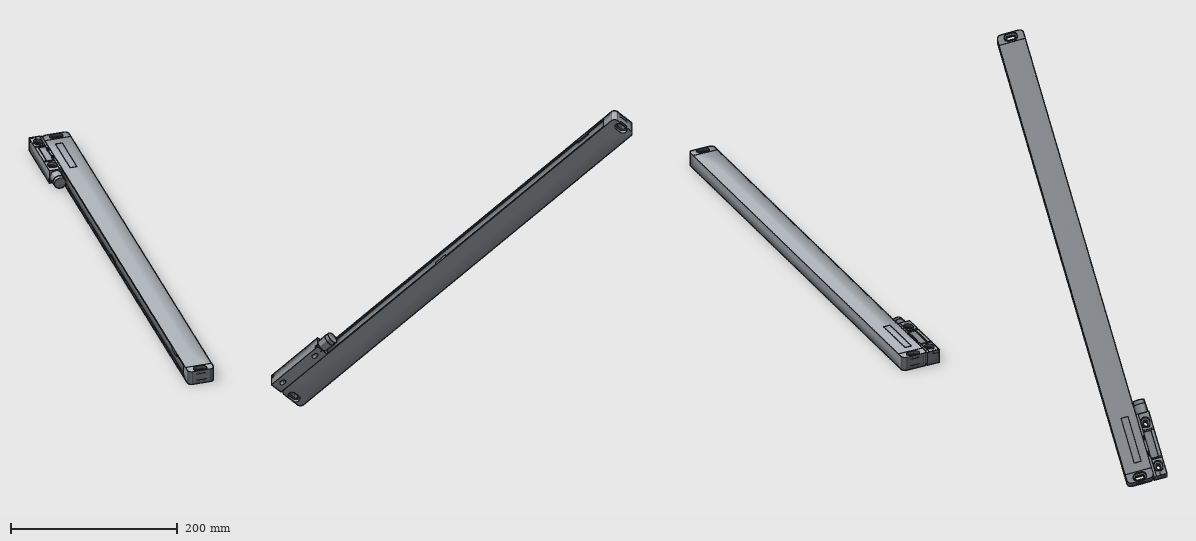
import cadquery as cq

total_length = 575.0
total_depth = 49.0
height = 18.0

housing_depth = 33.0
corner_radius = 5.0
cap_length = 12.0
cover_step = 0.1
channel_end = 19.0
channel_lip = 2.0
channel_depth = 2.0

tab_length = 18.0
tab_height = 4.5
lower_tab_x = 266.0
upper_tab_x = 510.5

label_x = 23.0
label_y = 26.0
label_length = 57.5
label_width = 8.5
label_depth = 0.3

end_hole_inset = 5.45
end_slot_width = 5.0
end_seat_width = 10.0
end_slot_straight = 6.5
end_seat_depth = 4.5

head_length = 80.0
ledge_width = 3.0
ledge_drop = 0.5
notch_length = 6.0
notch_width = 1.45
notch_depth = 3.0
notch_spacing = 20.0

window_length = 34.0
window_depth = 2.0
front_rim = 4.0
groove_width = 2.0
groove_depth = 0.3

head_slot_inset = 12.0
head_slot_y = 7.5
head_slot_straight = 3.0
head_slot_width = 5.0
head_seat_width = 10.5
head_seat_depth = 4.5

corner_hole_diameter = 4.0
corner_hole_inset = 2.5
corner_hole_level = 3.0
corner_hole_depth = 8.0

gland_diameter = 15.0
gland_length = 12.0
collar_diameter = 14.5
collar_length = 5.0
gland_y = 8.0

housing_front = total_depth - housing_depth
housing_middle = housing_front + housing_depth / 2
head_depth = housing_front
head_middle = head_length / 2
ledge_front = head_depth - ledge_width


def box(x, y, z, length, depth, tall):
    """Box given by its lowest corner and its sizes along X, Y and Z."""
    return cq.Workplane("XY").box(length, depth, tall, centered=False).translate((x, y, z))


def slot(x, y, z, straight, width, tall, angle):
    """Upright round-ended slot standing on level z; straight is the distance between its end arcs."""
    return cq.Workplane("XY", origin=(x, y, z)).slot2D(straight + width, width, angle).extrude(tall)


def housing_end_hole(x):
    """Slot through the full height with a wider screw seat sunk from the top and the bottom."""
    hole = slot(x, housing_middle, 0, end_slot_straight, end_slot_width, height, 90)
    for seat_z in (0, height - end_seat_depth):
        seat = slot(x, housing_middle, seat_z, end_slot_straight, end_seat_width, end_seat_depth, 90)
        hole = hole.union(seat)
    return hole


def front_channel():
    """Shallow channel along the front face, interrupted by two retaining tabs."""
    length = total_length - 2 * channel_end
    channel = box(channel_end, housing_front, channel_lip, length, channel_depth, height - 2 * channel_lip)
    for tab_x, tab_z in ((lower_tab_x, 0), (upper_tab_x, height - tab_height)):
        channel = channel.cut(box(tab_x, housing_front, tab_z, tab_length, channel_depth, tab_height))
    return channel


def make_housing():
    body = box(0, housing_front, 0, total_length, housing_depth, height).edges("|Z").fillet(corner_radius)
    cover_z = height - cover_step
    cover_length = total_length - 2 * cap_length
    body = body.cut(box(cap_length, housing_front, cover_z, cover_length, housing_depth, cover_step))
    body = body.cut(box(label_x, label_y, cover_z - label_depth, label_length, label_width, label_depth))
    body = body.cut(front_channel())
    for hole_x in (end_hole_inset, total_length - end_hole_inset):
        body = body.cut(housing_end_hole(hole_x))
    return body


def head_screw_hole(x):
    """Slot through the head with a wider screw seat sunk from the top."""
    hole = slot(x, head_slot_y, 0, head_slot_straight, head_slot_width, height, 0)
    seat_z = height - head_seat_depth
    return hole.union(slot(x, head_slot_y, seat_z, head_slot_straight, head_seat_width, head_seat_depth, 0))


def head_top_cuts():
    """Rear ledge with two notches, the sunk window, and a groove across the head at each window end."""
    cuts = box(0, ledge_front, height - ledge_drop, head_length, ledge_width, ledge_drop)
    window_x = head_middle - window_length / 2
    cuts = cuts.union(
        box(window_x, front_rim, height - window_depth, window_length, ledge_front - front_rim, window_depth)
    )
    for side in (-1, 1):
        groove_x = head_middle + side * (window_length + groove_width) / 2 - groove_width / 2
        cuts = cuts.union(box(groove_x, 0, height - groove_depth, groove_width, ledge_front, groove_depth))
        notch_x = head_middle + side * notch_spacing / 2 - notch_length / 2
        cuts = cuts.union(box(notch_x, ledge_front, height - notch_depth, notch_length, notch_width, notch_depth))
    return cuts


def corner_hole(x, z):
    """Small blind hole sunk into the front face."""
    return cq.Workplane("XZ", origin=(x, 0, z)).circle(corner_hole_diameter / 2).extrude(-corner_hole_depth)


def cable_outlet():
    """Round gland and its narrower collar, along X."""
    gland = cq.Workplane("YZ", origin=(head_length, gland_y, height / 2)).circle(gland_diameter / 2)
    gland = gland.extrude(gland_length)
    return gland.faces(">X").workplane().circle(collar_diameter / 2).extrude(collar_length)


def make_head():
    body = box(0, 0, 0, head_length, head_depth, height)
    body = body.cut(head_top_cuts())
    for hole_x in (head_slot_inset, head_length - head_slot_inset):
        body = body.cut(head_screw_hole(hole_x))
    body = body.cut(corner_hole(corner_hole_inset, height - corner_hole_level))
    body = body.cut(corner_hole(head_length - corner_hole_inset, corner_hole_level))
    return body.union(cable_outlet())


housing = make_housing()
head = make_head()
result = cq.Compound.makeCompound([housing.val(), head.val()])